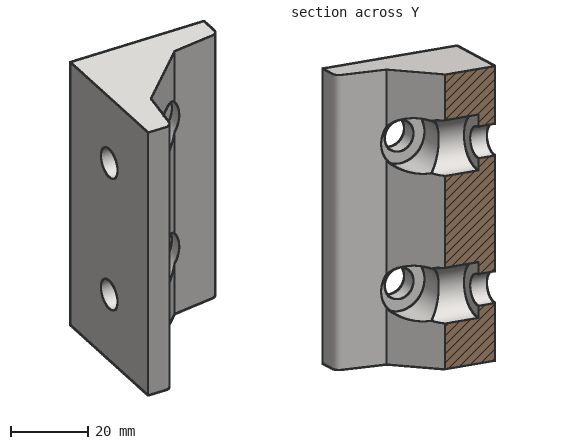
import cadquery as cq

leg_length = 40.0
height = 80.0
tip_thickness = 7.0
root_thickness = 9.0
web_end = 26.0
tip_radius = 2.0
hole_diameter = 8.5
counterbore_diameter = 15.0
counterbore_floor = 5.0

hole_offset = leg_length / 2
hole_heights = (height / 4, 3 * height / 4)

X_AXIS = cq.Vector(1, 0, 0)
Y_AXIS = cq.Vector(0, 1, 0)


def make_body():
    """Solid angle bracket with tapered legs and a 45 degree web between them."""
    body = (
        cq.Workplane("XY")
        .moveTo(0, 0)
        .lineTo(leg_length, 0)
        .lineTo(leg_length, tip_thickness)
        .lineTo(web_end, root_thickness)
        .lineTo(root_thickness, web_end)
        .lineTo(tip_thickness, leg_length)
        .lineTo(0, leg_length)
        .close()
        .extrude(height)
    )
    middle = height / 2
    inner_tip_edges = (
        cq.selectors.NearestToPointSelector((leg_length, tip_thickness, middle)),
        cq.selectors.NearestToPointSelector((tip_thickness, leg_length, middle)),
    )
    return body.edges(inner_tip_edges[0] + inner_tip_edges[1]).fillet(tip_radius)


def make_screw_cutter(mouth, direction):
    """Through hole from a mounting face, widened for the screw head past its seat."""
    hole = cq.Solid.makeCylinder(hole_diameter / 2, leg_length, mouth, direction)
    seat = mouth + direction * counterbore_floor
    head_depth = leg_length - counterbore_floor
    head = cq.Solid.makeCylinder(counterbore_diameter / 2, head_depth, seat, direction)
    return hole.fuse(head)


def cut_screw_holes(body):
    """One counterbored hole per leg at each hole height."""
    for z in hole_heights:
        body = body.cut(make_screw_cutter(cq.Vector(hole_offset, 0, z), Y_AXIS))
        body = body.cut(make_screw_cutter(cq.Vector(0, hole_offset, z), X_AXIS))
    return body


result = cut_screw_holes(make_body())